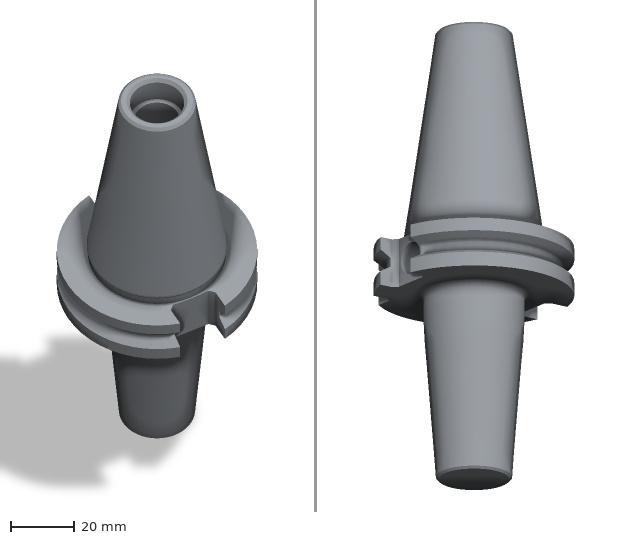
import cadquery as cq
import math

total_length = 148.4
shank_length = 68.4
gauge_z = total_length - shank_length
flange_top_z = gauge_z - 3.1
flange_bottom_z = flange_top_z - 15.9
flange_height = flange_top_z - flange_bottom_z

gauge_radius = 22.3
taper_per_side = 7 / 48
shank_end_radius = gauge_radius - shank_length * taper_per_side
shank_end_chamfer = 0.9
collar_radius = 22.0
collar_band = 0.6
collar_step = 0.6
relief_radius = 23.5
relief_depth = 0.7

flange_radius = 31.8
groove_root_radius = 28.0
groove_center_z = 69.2
groove_mouth_half = 3.5
groove_flank_angle = 30.0
groove_depth = flange_radius - groove_root_radius
groove_root_half = groove_mouth_half - groove_depth * math.tan(math.radians(groove_flank_angle))
groove_fillet = 0.7
fillet_setback = groove_fillet * math.tan(math.radians((90 - groove_flank_angle) / 2))
root_flat_half = groove_root_half - fillet_setback
flank_end_radius = groove_root_radius + fillet_setback * math.cos(math.radians(groove_flank_angle))
flank_end_half = groove_root_half + fillet_setback * math.sin(math.radians(groove_flank_angle))

neck_radius = 16.0
neck_end_z = 55.8
neck_fillet = 2.0
nose_taper_z = 45.9
nose_half_angle = 4.5
nose_slope = math.tan(math.radians(nose_half_angle))
blend_height = neck_end_z - nose_taper_z
nose_top_radius = neck_radius - blend_height * math.tan(math.radians(nose_half_angle / 2))
nose_end_radius = nose_top_radius - nose_taper_z * nose_slope
blend_radius = blend_height / math.sin(math.radians(nose_half_angle))
nose_chamfer = 0.7

slot_width = 16.0
left_slot_floor = 24.8
right_slot_floor = 22.7
notch_offset = 18.7
slot_corner_chamfer = 1.6
notch_corner_chamfer = 1.5

recess_radius = 5.2
recess_depth = 5.2
recess_z = flange_bottom_z + flange_height / 2

bore_mouth_radius = 9.6
bore_radius = 8.6
bore_depth = 8.9
drill_radius = 7.1
drill_depth = 29.7
drill_half_angle = 59.0


def make_body():
    """Revolve the outer outline around Z."""
    outline = (
        cq.Workplane("XZ")
        .moveTo(0, 0)
        .lineTo(nose_end_radius - nose_chamfer, 0)
        .lineTo(nose_end_radius + nose_chamfer * nose_slope, nose_chamfer)
        .lineTo(nose_top_radius, nose_taper_z)
        .radiusArc((neck_radius, neck_end_z), -blend_radius)
        .lineTo(neck_radius, flange_bottom_z - neck_fillet)
        .radiusArc((neck_radius + neck_fillet, flange_bottom_z), neck_fillet)
        .lineTo(flange_radius, flange_bottom_z)
        .lineTo(flange_radius, groove_center_z - groove_mouth_half)
        .lineTo(flank_end_radius, groove_center_z - flank_end_half)
        .radiusArc((groove_root_radius, groove_center_z - root_flat_half), groove_fillet)
        .lineTo(groove_root_radius, groove_center_z + root_flat_half)
        .radiusArc((flank_end_radius, groove_center_z + flank_end_half), groove_fillet)
        .lineTo(flange_radius, groove_center_z + groove_mouth_half)
        .lineTo(flange_radius, flange_top_z)
        .lineTo(relief_radius, flange_top_z)
        .lineTo(collar_radius, flange_top_z - relief_depth)
        .lineTo(collar_radius, gauge_z - collar_band - collar_step)
        .lineTo(gauge_radius, gauge_z - collar_band)
        .lineTo(gauge_radius, gauge_z)
        .lineTo(shank_end_radius, total_length - shank_end_chamfer)
        .lineTo(shank_end_radius - shank_end_chamfer, total_length)
        .lineTo(0, total_length)
        .close()
    )
    return outline.revolve(360, (0, 0, 0), (0, 1, 0))


def flange_cutter(x_min, x_max, y_min, y_max, corner_chamfer):
    """Block through the flange height with chamfered vertical edges."""
    return (
        cq.Workplane("XY", origin=(0, 0, flange_bottom_z))
        .moveTo((x_min + x_max) / 2, (y_min + y_max) / 2)
        .rect(x_max - x_min, y_max - y_min)
        .extrude(flange_height)
        .edges("|Z")
        .chamfer(corner_chamfer)
    )


def make_bore():
    """Countersunk bore with a smaller drilled hole and a conical bottom."""
    mouth_depth = bore_mouth_radius - bore_radius
    tip_depth = drill_depth + drill_radius / math.tan(math.radians(drill_half_angle))
    outline = (
        cq.Workplane("XZ")
        .moveTo(0, total_length)
        .lineTo(bore_mouth_radius, total_length)
        .lineTo(bore_radius, total_length - mouth_depth)
        .lineTo(bore_radius, total_length - bore_depth)
        .lineTo(drill_radius, total_length - bore_depth)
        .lineTo(drill_radius, total_length - drill_depth)
        .lineTo(0, total_length - tip_depth)
        .close()
    )
    return outline.revolve(360, (0, 0, 0), (0, 1, 0))


def make_recess():
    """Flat-bottomed round recess running inward along +X."""
    return (
        cq.Workplane("YZ", origin=(-left_slot_floor, 0, recess_z))
        .circle(recess_radius)
        .extrude(recess_depth)
    )


cutter_reach = flange_radius + 2 * slot_corner_chamfer
half_slot = slot_width / 2

result = (
    make_body()
    .cut(flange_cutter(-cutter_reach, -left_slot_floor, -half_slot, half_slot, slot_corner_chamfer))
    .cut(flange_cutter(right_slot_floor, cutter_reach, -half_slot, half_slot, slot_corner_chamfer))
    .cut(flange_cutter(-cutter_reach, -notch_offset, notch_offset, cutter_reach, notch_corner_chamfer))
    .cut(make_recess())
    .cut(make_bore())
)